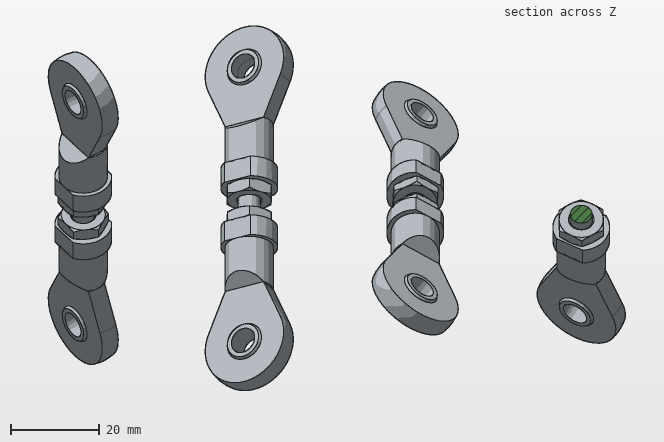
import cadquery as cq
import math

half_length = 45.5

eye_radius = 10.5
eye_center_z = half_length - eye_radius
eye_thickness = 4.55
rim_end_z = 30.85

ball_radius = 5.0
ball_width = 5.8
bore_diameter = 6.0

shank_diameter = 11.0
shank_radius = shank_diameter / 2
shoulder_top_z = 21.0
shoulder_height = 2.55

collar_radius = 6.5
collar_top_z = 10.0
collar_bottom_z = 5.0

nut_across_flats = 10.0
nut_bottom_z = 2.0
nut_chamfer_radius = nut_across_flats / 2
nut_chamfer_angle = math.radians(30)
rod_radius = 2.55
countersink_radius = 2.9


def rod(radius, bottom, top):
    """Vertical cylinder between two heights."""
    return cq.Workplane("XY").workplane(offset=bottom).circle(radius).extrude(top - bottom)


def slab(thickness, bottom, top):
    """Block centred on the Z axis, wide in X and limited in Y."""
    return (
        cq.Workplane("XY")
        .workplane(offset=bottom)
        .rect(4 * eye_radius, thickness)
        .extrude(top - bottom)
    )


def eye_plate():
    """Spherical-rimmed disc, blended down to a straight-sided neck."""
    half_thickness = eye_thickness / 2
    sphere = cq.Workplane("XY").sphere(eye_radius).translate((0, 0, eye_center_z))
    disc = sphere.intersect(slab(eye_thickness, rim_end_z, half_length))

    rim_x = math.sqrt(eye_radius**2 - (eye_center_z - rim_end_z) ** 2)
    corner_x = math.sqrt(rim_x**2 - half_thickness**2)
    neck_x = math.sqrt(shank_radius**2 - half_thickness**2)
    taper = (
        cq.Workplane("XY")
        .workplane(offset=shoulder_top_z)
        .rect(2 * neck_x, eye_thickness)
        .workplane(offset=rim_end_z - shoulder_top_z)
        .moveTo(-corner_x, -half_thickness)
        .lineTo(corner_x, -half_thickness)
        .threePointArc((rim_x, 0), (corner_x, half_thickness))
        .lineTo(-corner_x, half_thickness)
        .threePointArc((-rim_x, 0), (-corner_x, -half_thickness))
        .close()
        .loft(ruled=True)
    )
    return disc.union(taper)


def ball_insert():
    """Ball with flattened ends standing proud of the eye faces."""
    ball = cq.Workplane("XY").sphere(ball_radius)
    return ball.intersect(slab(ball_width, -ball_radius, ball_radius)).translate((0, 0, eye_center_z))


def shank():
    """Cylinder cut by two planes sloping up to the eye faces."""
    shoulder_profile = (
        cq.Workplane("YZ")
        .moveTo(-shank_radius, collar_top_z)
        .lineTo(shank_radius, collar_top_z)
        .lineTo(shank_radius, shoulder_top_z - shoulder_height)
        .lineTo(eye_thickness / 2, shoulder_top_z)
        .lineTo(-eye_thickness / 2, shoulder_top_z)
        .lineTo(-shank_radius, shoulder_top_z - shoulder_height)
        .close()
        .extrude(shank_radius, both=True)
    )
    return rod(shank_radius, collar_top_z, shoulder_top_z).intersect(shoulder_profile)


def collar():
    """Short cylinder with wrench flats at +Y and -Y."""
    flats = slab(2 * shank_radius, collar_bottom_z, collar_top_z)
    return rod(collar_radius, collar_bottom_z, collar_top_z).intersect(flats)


def lock_nut():
    """Hexagon with corners along X, chamfered at both ends and countersunk toward the part's middle."""
    corner_radius = nut_across_flats / math.sqrt(3)
    chamfer_height = (corner_radius - nut_chamfer_radius) * math.tan(nut_chamfer_angle)
    hexagon = (
        cq.Workplane("XY")
        .workplane(offset=nut_bottom_z)
        .polygon(6, 2 * corner_radius)
        .extrude(collar_bottom_z - nut_bottom_z)
    )
    chamfer_envelope = (
        cq.Workplane("XZ")
        .moveTo(0, nut_bottom_z)
        .lineTo(nut_chamfer_radius, nut_bottom_z)
        .lineTo(corner_radius, nut_bottom_z + chamfer_height)
        .lineTo(corner_radius, collar_bottom_z - chamfer_height)
        .lineTo(nut_chamfer_radius, collar_bottom_z)
        .lineTo(0, collar_bottom_z)
        .close()
        .revolve(360, (0, 0, 0), (0, 1, 0))
    )
    countersink_depth = countersink_radius - rod_radius
    countersink = (
        cq.Workplane("XY")
        .workplane(offset=nut_bottom_z)
        .circle(countersink_radius)
        .workplane(offset=countersink_depth)
        .circle(rod_radius)
        .loft()
    )
    return hexagon.intersect(chamfer_envelope).cut(countersink)


bore = (
    cq.Workplane("XZ")
    .center(0, eye_center_z)
    .circle(bore_diameter / 2)
    .extrude(ball_width, both=True)
)
rod_end = (
    eye_plate()
    .union(ball_insert())
    .cut(bore)
    .union(shank())
    .union(collar())
    .union(lock_nut())
)
center_rod = rod(rod_radius, -collar_bottom_z, collar_bottom_z)

result = center_rod.union(rod_end).union(rod_end.mirror("XY"))